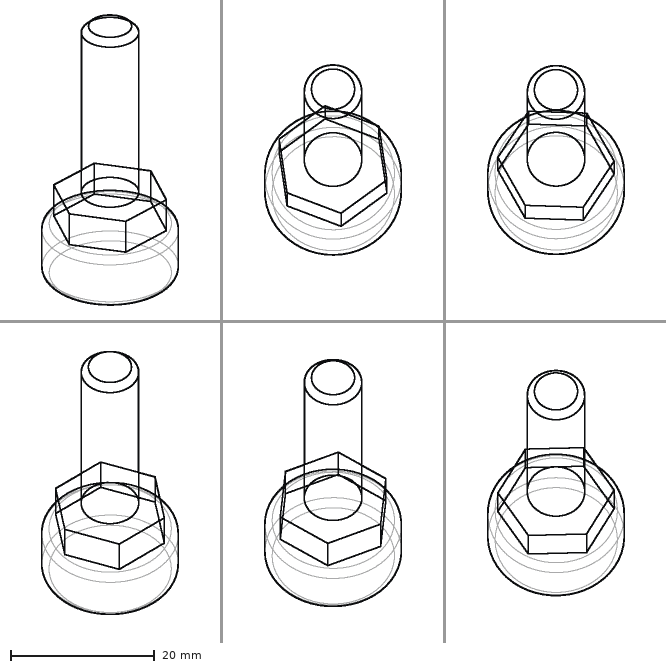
import cadquery as cq
import math

total_height = 40
base_height = 8
hex_height = 5.0
stud_length = total_height - base_height - hex_height

base_diameter = 19.0
hex_across_flats = 14
hex_across_corners = hex_across_flats / math.cos(math.radians(30))
stud_diameter = 8

base_edge_radius = 1.0
stud_tip_chamfer = 1.0


def make_base():
    """Round foot with both rims rounded."""
    disc = cq.Workplane("XY").circle(base_diameter / 2).extrude(base_height)
    return disc.edges("%CIRCLE").fillet(base_edge_radius)


def make_hex():
    """Hexagonal collar on the foot, with two corners on the X axis."""
    plane = cq.Workplane("XY").workplane(offset=base_height)
    return plane.polygon(6, hex_across_corners).extrude(hex_height)


def make_stud():
    """Plain round stud above the collar, chamfered at its tip."""
    plane = cq.Workplane("XY").workplane(offset=base_height + hex_height)
    stud = plane.circle(stud_diameter / 2).extrude(stud_length)
    return stud.faces(">Z").chamfer(stud_tip_chamfer)


result = make_base().union(make_hex()).union(make_stud())